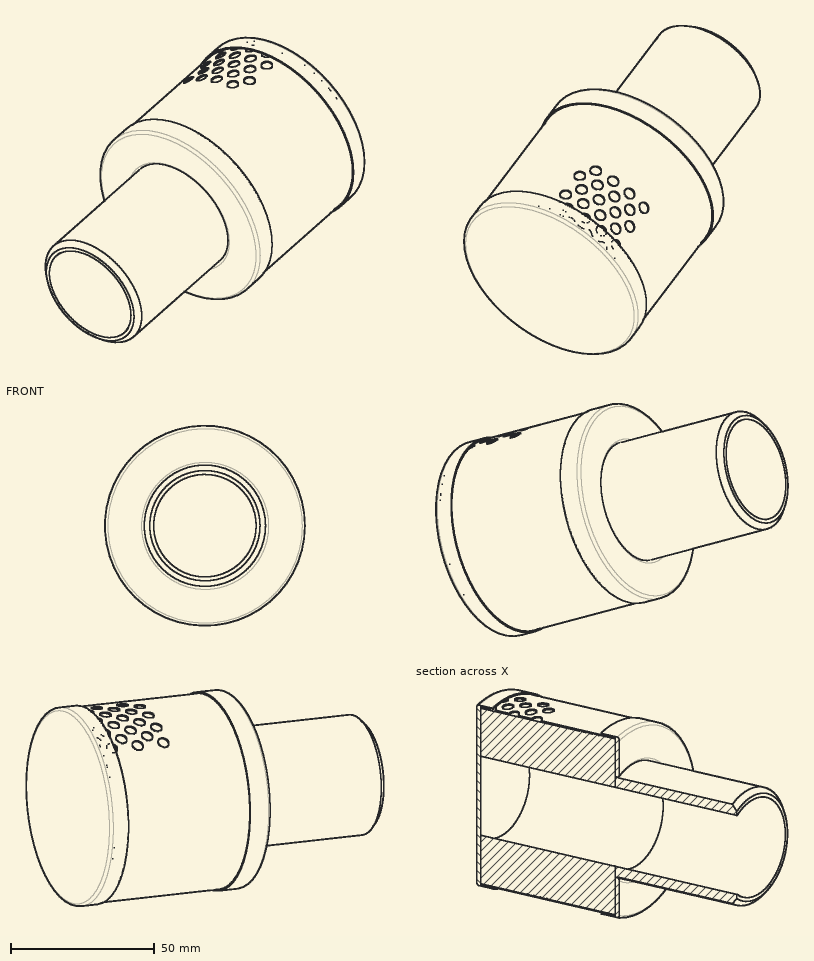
import cadquery as cq
import math


overall_length = 113.0
barrel_length = 62.0
tube_projection = overall_length - barrel_length

cap_diameter = 70.0
cap_radius = cap_diameter / 2
cap_skirt_thickness = 0.5
cap_plate_thickness = 2.0
cap_edge_radius = 1.0
front_cap_length = 8.0
rear_cap_length = 7.0
front_hole_radius = 1.0

tube_diameter = 42.4
tube_radius = tube_diameter / 2
tube_wall = 3.3
tube_bore_radius = tube_radius - tube_wall
tube_chamfer = 1.9

sleeve_radius = cap_radius - cap_skirt_thickness
sleeve_thickness = 0.5
sleeve_inner_radius = sleeve_radius - sleeve_thickness
sleeve_front = cap_plate_thickness
sleeve_rear = barrel_length - cap_plate_thickness
sleeve_length = sleeve_rear - sleeve_front

hole_diameter = 4.0
hole_row_spacing = 5.0
hole_angle_step = 12
holes_per_row = 4
hole_row_count = 6
first_row_from_rear = 26.1


def ring(outer_radius, inner_radius, start_y, length):
    """Hollow cylinder around the Y axis, from start_y towards +Y."""
    return (
        cq.Workplane("XZ", origin=(0, start_y, 0))
        .circle(outer_radius)
        .circle(inner_radius)
        .extrude(-length)
    )


def disc(radius, start_y, length):
    """Solid cylinder around the Y axis, from start_y towards +Y."""
    return cq.Workplane("XZ", origin=(0, start_y, 0)).circle(radius).extrude(-length)


def make_front_cap():
    """Cup with a rounded rim and a round-edged hole for the tube."""
    cap = disc(cap_radius, 0, front_cap_length).faces("<Y").edges().fillet(cap_edge_radius)
    cap = cap.cut(disc(sleeve_radius, cap_plate_thickness, front_cap_length))
    cap = cap.cut(disc(tube_radius, 0, cap_plate_thickness))
    hole_edge = cap.faces("<Y").edges(cq.selectors.RadiusNthSelector(0))
    return hole_edge.fillet(front_hole_radius)


def make_rear_cap():
    """Closed cup with a rounded rim."""
    start_y = barrel_length - rear_cap_length
    cap = disc(cap_radius, start_y, rear_cap_length).faces(">Y").edges().fillet(cap_edge_radius)
    return cap.cut(disc(sleeve_radius, start_y, sleeve_rear - start_y))


def make_tube():
    """Tube from its chamfered free end to the inner face of the front cap."""
    length = tube_projection + cap_plate_thickness
    tube = disc(tube_radius, -tube_projection, length).faces("<Y").edges().chamfer(tube_chamfer)
    return tube.cut(disc(tube_bore_radius, -tube_projection, length))


def hole_cutter(y, angle):
    """Radial pin through the sleeve wall, turned by angle degrees from +Z towards -X."""
    tilt = math.radians(angle)
    outward = cq.Vector(-math.sin(tilt), 0, math.cos(tilt))
    start = outward * (sleeve_inner_radius / 2) + cq.Vector(0, y, 0)
    return cq.Solid.makeCylinder(hole_diameter / 2, sleeve_radius, start, outward)


def make_sleeve():
    """Thin sleeve with staggered rows of holes."""
    sleeve = ring(sleeve_radius, sleeve_inner_radius, sleeve_front, sleeve_length)
    for row in range(hole_row_count):
        row_y = barrel_length - first_row_from_rear + row * hole_row_spacing
        row_offset = 0.5 if row % 2 == 0 else 0.0
        for column in range(holes_per_row):
            angle = (column + row_offset) * hole_angle_step
            sleeve = sleeve.cut(cq.Workplane(hole_cutter(row_y, angle)))
    return sleeve


def make_filter():
    """Filter lining behind the sleeve, with a bore as wide as that of the tube."""
    return ring(sleeve_inner_radius, tube_bore_radius, sleeve_front, sleeve_length)


front_cap = make_front_cap()
rear_cap = make_rear_cap()
tube = make_tube()
sleeve = make_sleeve()
filter_lining = make_filter()

result = cq.Compound.makeCompound(
    [front_cap.val(), rear_cap.val(), tube.val(), sleeve.val(), filter_lining.val()]
)